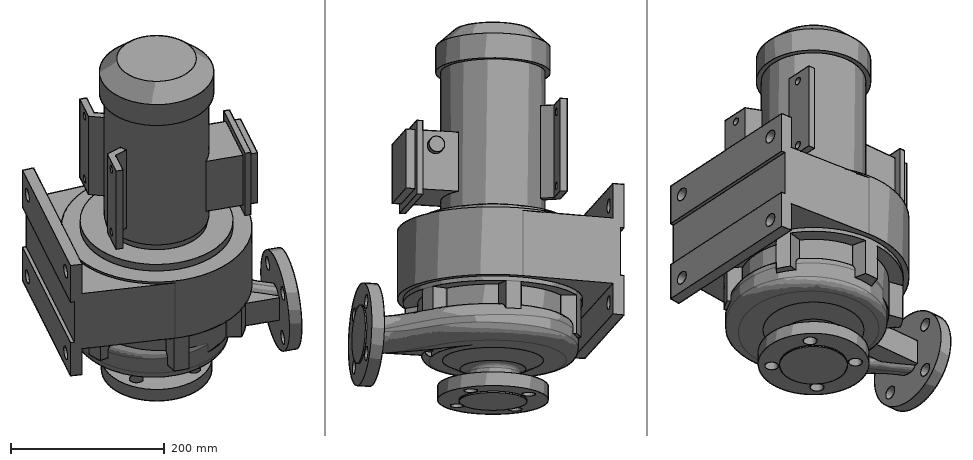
import cadquery as cq
import math


motor_seat_z = 230.0
motor_flange_radius = 100.0
motor_flange_thickness = 10.5
motor_neck_radius = 66.5
motor_body_z = 249.5
motor_body_radius = 68.5
cap_z = 445.0
cap_radius = 75.0
cap_chamfer_z = 478.5
cap_top_radius = 52.0
motor_top_z = 499.5

box_width = 80.0
box_bottom_z = 271.0
box_height = 80.0
box_end_y = 126.0
lid_overhang = 10.0
lid_y = 106.0
lid_thickness = 8.0
gland_radius = 10.5
gland_length = 10.0
gland_y = 87.0
gland_z = 330.0

foot_bottom_z = 267.5
foot_top_z = 392.5
foot_face_y = -80.0
foot_thickness = 9.5
foot_outer_x = 85.0
foot_bend_x = 44.5
foot_leg_angle = 65.0
foot_leg_length = 35.0
foot_hole_x = 62.5
foot_hole_edge_distance = 12.5
foot_hole_diameter = 10.0

drum_radius = 125.0
drum_bottom_z = 138.5
lantern_flange_radius = 117.5
lantern_flange_bottom_z = 132.5
lantern_radius = 98.5
leg_count = 6
leg_tip_width = 20.0
leg_root_width = 31.0
leg_bottom_z = 80.5

taper_angle = math.radians(5)
block_top_z = 227.0
plate_front_y = -150.0
plate_thickness = 15.5
plate_bottom_z = 97.0
plate_top_z = 274.0
recess_depth = 5.0
recess_bottom_z = 150.5
recess_top_z = 215.0
plate_hole_x = 89.5
plate_hole_bottom_z = 118.5
plate_hole_top_z = 249.5
plate_hole_diameter = 18.0

volute_z = 80.0
volute_height = 49.0
volute_core_radius = 82.5
volute_width = 50.0
volute_start_angle = 90
volute_sweep = 315
volute_step = 45
volute_start_radius = 92.0
volute_growth_per_turn = 37.5
volute_start_corner = 9.5
volute_corner_growth_per_turn = 12.0

outlet_face_y = 180.5
outlet_flange_radius = 67.5
outlet_flange_back_y = 161.5
outlet_raised_radius = 38.5
outlet_bolt_circle_radius = 50.0
raised_height = 2.0
bolt_hole_diameter = 18.0
bolt_count = 4
bolt_start_angle = 45
web_left_x = -7.5
web_right_x = 20.0
web_height = 36.0
web_start_y = 70.0

pipe_stations = [
    ((-60.0, 115.0), 45, 42.5, 20.0),
    ((-36.5, 139.0), 50, 35.0, 21.5),
    ((-18.0, 170.0), 75, 35.0, 22.5),
]
casing_inner_corner = 10.0

suction_flange_radius = 72.5
suction_flange_top_z = 20.5
suction_raised_radius = 44.5
suction_bolt_circle_radius = 55.0
suction_neck_radius = 36.0
suction_foot_radius = 41.0
suction_neck_bottom_z = 29.0
suction_neck_top_z = 36.5
suction_bell_z = 44.0
suction_bell_radius = 43.0
suction_mouth_radius = 66.0


def cylinder(radius, bottom_z, top_z):
    """Upright cylinder on the Z axis."""
    return cq.Workplane("XY").workplane(offset=bottom_z).circle(radius).extrude(top_z - bottom_z)


def block(x_min, x_max, y_min, y_max, z_min, z_max):
    """Box given by its limits."""
    return cq.Workplane("XY").box(
        x_max - x_min, y_max - y_min, z_max - z_min, centered=False
    ).translate((x_min, y_min, z_min))


def holes_along_y(points, diameter, y_min, y_max):
    """Round cutters along Y at the given (x, z) points."""
    return (
        cq.Workplane("XZ", origin=(0, y_min, 0))
        .pushPoints(points)
        .circle(diameter / 2)
        .extrude(y_min - y_max)
    )


def motor_shell():
    """Turned motor body from its seating flange up to the chamfered fan cap."""
    flange_top_z = motor_seat_z + motor_flange_thickness
    profile = [
        (0, motor_seat_z),
        (motor_flange_radius, motor_seat_z),
        (motor_flange_radius, flange_top_z),
        (motor_neck_radius, flange_top_z),
        (motor_neck_radius, motor_body_z),
        (motor_body_radius, motor_body_z),
        (motor_body_radius, cap_z),
        (cap_radius, cap_z),
        (cap_radius, cap_chamfer_z),
        (cap_top_radius, motor_top_z),
        (0, motor_top_z),
    ]
    return cq.Workplane("XZ").polyline(profile).close().revolve(360, (0, 0, 0), (0, 1, 0))


def terminal_box():
    """Terminal box with an overhanging lid frame and a cable gland on its -X side."""
    half_width = box_width / 2
    box_top_z = box_bottom_z + box_height
    lid_half_width = half_width + lid_overhang
    box = block(-half_width, half_width, 0, box_end_y, box_bottom_z, box_top_z)
    lid = block(
        -lid_half_width, lid_half_width, lid_y, lid_y + lid_thickness,
        box_bottom_z - lid_overhang, box_top_z + lid_overhang,
    )
    gland = (
        cq.Workplane("YZ", origin=(-half_width - gland_length, gland_y, gland_z))
        .circle(gland_radius)
        .extrude(half_width)
    )
    return box.union(lid).union(gland)


def right_foot():
    """Foot on the +X side: a flat pad whose inner edge bends towards the motor."""
    angle = math.radians(foot_leg_angle)
    leg_x = -foot_leg_length * math.cos(angle)
    leg_y = foot_leg_length * math.sin(angle)
    back_y = foot_face_y + foot_thickness
    back_bend_x = foot_bend_x + foot_thickness * math.tan(angle / 2)
    outline = [
        (foot_outer_x, foot_face_y),
        (foot_bend_x, foot_face_y),
        (foot_bend_x + leg_x, foot_face_y + leg_y),
        (back_bend_x + leg_x, back_y + leg_y),
        (back_bend_x, back_y),
        (foot_outer_x, back_y),
    ]
    foot = (
        cq.Workplane("XY", origin=(0, 0, foot_bottom_z))
        .polyline(outline)
        .close()
        .extrude(foot_top_z - foot_bottom_z)
    )
    hole_points = [
        (foot_hole_x, foot_bottom_z + foot_hole_edge_distance),
        (foot_hole_x, foot_top_z - foot_hole_edge_distance),
    ]
    return foot.cut(holes_along_y(hole_points, foot_hole_diameter, foot_face_y, back_y))


def build_motor():
    foot = right_foot()
    return motor_shell().union(terminal_box()).union(foot).union(foot.mirror("YZ"))


def tapered_prism(back_y, front_y, bottom_z, top_z):
    """Prism between two Y planes whose sides lie in the planes that touch the drum at the taper angle."""
    def half_width(y):
        return (drum_radius + y * math.sin(taper_angle)) / math.cos(taper_angle)

    outline = [
        (-half_width(back_y), back_y),
        (half_width(back_y), back_y),
        (half_width(front_y), front_y),
        (-half_width(front_y), front_y),
    ]
    return (
        cq.Workplane("XY", origin=(0, 0, bottom_z)).polyline(outline).close().extrude(top_z - bottom_z)
    )


def drum_with_mount():
    """Drum, tapered block and recessed mounting plate with its four holes."""
    tangent_y = -drum_radius * math.sin(taper_angle)
    plate_back_y = plate_front_y + plate_thickness
    drum = cylinder(drum_radius, drum_bottom_z, motor_seat_z)
    mount = tapered_prism(tangent_y, plate_back_y, drum_bottom_z, block_top_z)
    plate = tapered_prism(plate_back_y, plate_front_y, plate_bottom_z, plate_top_z)
    recess = block(
        -drum_radius, drum_radius, plate_front_y, plate_front_y + recess_depth,
        recess_bottom_z, recess_top_z,
    )
    hole_points = [
        (side * plate_hole_x, z)
        for side in (-1, 1)
        for z in (plate_hole_bottom_z, plate_hole_top_z)
    ]
    plate_holes = holes_along_y(hole_points, plate_hole_diameter, plate_front_y, plate_back_y)
    return drum.union(mount).union(plate.cut(recess).cut(plate_holes))


def lantern():
    """Bearing lantern: a flange, a core and radial legs that run down beside the volute."""
    flange = cylinder(lantern_flange_radius, lantern_flange_bottom_z, drum_bottom_z)
    core = cylinder(lantern_radius, volute_z, lantern_flange_bottom_z)
    envelope = cylinder(lantern_flange_radius, leg_bottom_z, lantern_flange_bottom_z)
    body = flange.union(core)
    leg_outline = [
        (0, -leg_root_width / 2),
        (lantern_radius, -leg_root_width / 2),
        (lantern_flange_radius, -leg_tip_width / 2),
        (drum_radius, -leg_tip_width / 2),
        (drum_radius, leg_tip_width / 2),
        (lantern_flange_radius, leg_tip_width / 2),
        (lantern_radius, leg_root_width / 2),
        (0, leg_root_width / 2),
    ]
    leg = (
        cq.Workplane("XY", origin=(0, 0, leg_bottom_z))
        .polyline(leg_outline)
        .close()
        .extrude(lantern_flange_bottom_z - leg_bottom_z)
        .intersect(envelope)
    )
    for index in range(leg_count):
        body = body.union(leg.rotate((0, 0, 0), (0, 0, 1), index * 360 / leg_count))
    return body


def casing_section(outer_point, heading_degrees, width, outer_corner):
    """Upright section of the casing, rounded at its corners, to the right of a point on its outer side."""
    heading = math.radians(heading_degrees)
    to_left = (-math.sin(heading), math.cos(heading), 0)
    plane = cq.Plane(
        origin=(*outer_point, volute_z), xDir=to_left, normal=(math.cos(heading), math.sin(heading), 0)
    )
    half_height = volute_height / 2
    inner_corner = casing_inner_corner
    outer_bulge = outer_corner * (1 - math.sqrt(0.5))
    inner_bulge = inner_corner * (1 - math.sqrt(0.5))
    return (
        cq.Workplane(plane)
        .moveTo(0, outer_corner - half_height)
        .lineTo(0, half_height - outer_corner)
        .threePointArc((-outer_bulge, half_height - outer_bulge), (-outer_corner, half_height))
        .lineTo(inner_corner - width, half_height)
        .threePointArc(
            (inner_bulge - width, half_height - inner_bulge), (-width, half_height - inner_corner)
        )
        .lineTo(-width, inner_corner - half_height)
        .threePointArc(
            (inner_bulge - width, inner_bulge - half_height), (inner_corner - width, -half_height)
        )
        .lineTo(-outer_corner, -half_height)
        .threePointArc((-outer_bulge, outer_bulge - half_height), (0, outer_corner - half_height))
        .wire()
        .val()
    )


def volute_section(sweep):
    """Section of the spiral after a clockwise sweep in degrees from its start."""
    turn = sweep / 360
    radius = volute_start_radius + volute_growth_per_turn * turn
    corner = volute_start_corner + volute_corner_growth_per_turn * turn
    angle = volute_start_angle - sweep
    outer_point = (radius * math.cos(math.radians(angle)), radius * math.sin(math.radians(angle)))
    return casing_section(outer_point, angle - 90, volute_width, corner)


def volute_and_pipe():
    """Spiral casing that runs on into the outlet pipe, with the solid core inside the spiral."""
    half_height = volute_height / 2
    sections = [volute_section(sweep) for sweep in range(0, volute_sweep + 1, volute_step)]
    sections += [casing_section(*station) for station in pipe_stations]
    casing = cq.Workplane(cq.Solid.makeLoft(sections))
    return casing.union(cylinder(volute_core_radius, volute_z - half_height, volute_z + half_height))


def flange(radius, raised_radius, total_thickness, bolt_circle_radius):
    """Pipe flange whose raised sealing face lies at Z = 0 and whose back faces +Z."""
    plate = cylinder(radius, raised_height, total_thickness)
    bolt_holes = (
        cq.Workplane("XY")
        .polarArray(bolt_circle_radius, bolt_start_angle, 360, bolt_count)
        .circle(bolt_hole_diameter / 2)
        .extrude(total_thickness)
    )
    return plate.cut(bolt_holes).union(cylinder(raised_radius, 0, raised_height))


def outlet():
    """Outlet flange and the flat web that joins it to the volute."""
    outlet_flange = (
        flange(
            outlet_flange_radius, outlet_raised_radius,
            outlet_face_y - outlet_flange_back_y, outlet_bolt_circle_radius,
        )
        .rotate((0, 0, 0), (1, 0, 0), 90)
        .translate((0, outlet_face_y, volute_z))
    )
    web = block(
        web_left_x, web_right_x, web_start_y, outlet_flange_back_y,
        volute_z - web_height / 2, volute_z + web_height / 2,
    )
    return web.union(outlet_flange)


def suction_branch():
    """Flange, waisted neck and conical bell below the volute."""
    volute_bottom_z = volute_z - volute_height / 2
    foot_rise = suction_neck_bottom_z - suction_flange_top_z
    foot_spread = suction_foot_radius - suction_neck_radius
    foot_middle = (suction_neck_radius + foot_spread / 4, suction_flange_top_z + foot_rise / 2)
    neck = (
        cq.Workplane("XZ")
        .moveTo(0, suction_flange_top_z)
        .lineTo(suction_foot_radius, suction_flange_top_z)
        .threePointArc(foot_middle, (suction_neck_radius, suction_neck_bottom_z))
        .lineTo(suction_neck_radius, suction_neck_top_z)
        .tangentArcPoint((suction_bell_radius, suction_bell_z), relative=False)
        .lineTo(suction_mouth_radius, volute_bottom_z)
        .lineTo(0, volute_bottom_z)
        .close()
        .revolve(360, (0, 0, 0), (0, 1, 0))
    )
    suction_flange = flange(
        suction_flange_radius, suction_raised_radius, suction_flange_top_z, suction_bolt_circle_radius
    )
    return suction_flange.union(neck)


def build_pump():
    return (
        drum_with_mount()
        .union(lantern())
        .union(volute_and_pipe())
        .union(outlet())
        .union(suction_branch())
    )


motor = build_motor()
pump = build_pump()
result = cq.Compound.makeCompound([motor.val(), pump.val()])